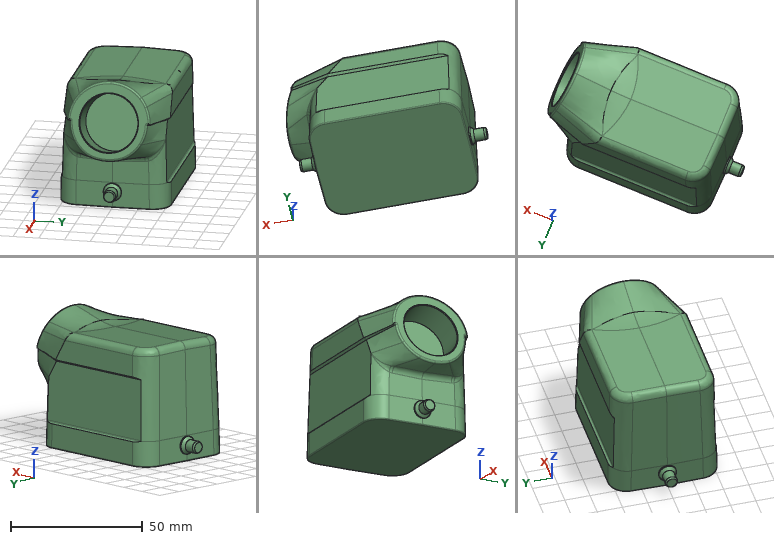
import cadquery as cq
import math

base_length = 60.0
base_width = 42.97
end_wall_rise = 0.4
skirt_height = 10.0
skirt_draft = 1.0
upper_draft = 1.5
roof_height = 46.2
roof_fall_angle = 1.5
corner_radius = 7.3
roof_radius = 3.0
roof_trim = 1.0
bottom_radius = 0.4

recess_depth = 1.0
recess_floor_bottom = 10.1
recess_floor_top = 33.8
recess_floor_radius = 0.3
recess_bottom_slope = 0.6
recess_top_slope = 0.75

neck_root_x = 14.0
neck_root_angle = 31.4
mouth_center_x = 36.95
mouth_center_z = 36.1
mouth_angle = 15.0
mouth_radius = 15.8
mouth_upper_angles = (90, 41, 26, 0)
mouth_lower_angles = (0, -31, -66, -90)
mouth_step = 1.0
mouth_edge_radius = 0.8
neck_under_radius = 2.3
neck_corner_top = 26.0
blend_length = 4.2
blend_root_depth = 2.0
blend_fractions = (0, 0.25, 0.5, 0.75, 0.98)
plane_tolerance = 0.01
bore_diameter = 22.5
bore_depth = 12.0
bore_chamfer = 0.3

pin_height = 6.25
pin_reach = 36.33
pin_diameter = 4.8
pin_tip_diameter = 4.0
pin_tip_length = 0.8
collar_diameter = 7.0
collar_start = 29.0
collar_end = 30.4
cone_end = 31.6


def tan_deg(angle):
    return math.tan(math.radians(angle))


def side_inset(height):
    """How far the drafted walls have drawn in at a height."""
    skirt_part = min(height, skirt_height) * tan_deg(skirt_draft)
    upper_part = max(height - skirt_height, 0) * tan_deg(upper_draft)
    return skirt_part + upper_part


def half_width(height):
    return base_width / 2 - side_inset(height)


def body_outline(height):
    """Outline at a height: pointed end walls, rounded corners, one draft all the way up the neck end."""
    neck_end = base_length / 2 - height * tan_deg(skirt_draft)
    plain_end = side_inset(height) - base_length / 2
    neck_shoulder = neck_end - end_wall_rise
    plain_shoulder = plain_end + end_wall_rise
    side = half_width(height)
    points = [
        (neck_end, 0),
        (neck_shoulder, side),
        (plain_shoulder, side),
        (plain_end, 0),
        (plain_shoulder, -side),
        (neck_shoulder, -side),
    ]
    outline = cq.Wire.makePolygon([cq.Vector(x, y, height) for x, y in points], close=True)
    corners = [vertex for vertex in outline.Vertices() if abs(vertex.Y) > side / 2]
    return outline.fillet2D(corner_radius, corners)


def make_body():
    heights = (0, skirt_height, roof_height + roof_trim)
    body = cq.Workplane(obj=cq.Solid.makeLoft([body_outline(height) for height in heights], True))

    eave_y = base_width / 2
    eave_z = roof_height - eave_y * tan_deg(roof_fall_angle)
    roof = (
        cq.Workplane("YZ")
        .polyline([(-eave_y, 0), (-eave_y, eave_z), (0, roof_height), (eave_y, eave_z), (eave_y, 0)])
        .close()
        .extrude(base_length, both=True)
    )
    body = body.intersect(roof)
    ridge = body.edges(cq.selectors.NearestToPointSelector((0, 0, roof_height))).val()
    rim = [
        edge for edge in body.edges().vals()
        if edge.BoundingBox().zmin > eave_z - roof_radius and not edge.isSame(ridge)
    ]
    body = body.newObject(rim).fillet(roof_radius)
    return body.faces("<Z").edges().fillet(bottom_radius)


def make_recess_cutter():
    """Both side recesses: floors parallel to the drafted walls, with sloping steps."""
    outside = base_width
    floor_bottom_y = half_width(recess_floor_bottom) - recess_depth
    floor_top_y = half_width(recess_floor_top) - recess_depth
    bottom_slope = recess_bottom_slope / recess_depth
    top_slope = recess_top_slope / recess_depth
    profile = [
        (floor_bottom_y, recess_floor_bottom),
        (floor_top_y, recess_floor_top),
        (outside, recess_floor_top + (outside - floor_top_y) * top_slope),
        (outside, recess_floor_bottom - (outside - floor_bottom_y) * bottom_slope),
    ]
    cutter = cq.Workplane("YZ").polyline(profile).close().extrude(base_length, both=True)
    lower_corner = cq.selectors.NearestToPointSelector((0, floor_bottom_y, recess_floor_bottom))
    cutter = cutter.edges(lower_corner).fillet(recess_floor_radius)
    return cutter.union(cutter.mirror("XZ"))


def upward_plane(x, z, angle):
    """Plane through a point on the middle of the hood, facing +X and tilted upward."""
    tilt = math.radians(angle)
    return cq.Plane(origin=(x, 0, z), xDir=(0, 1, 0), normal=(math.cos(tilt), 0, math.sin(tilt)))


def neck_root_plane():
    return upward_plane(neck_root_x, roof_height, neck_root_angle)


def mouth_plane():
    return upward_plane(mouth_center_x, mouth_center_z, mouth_angle)


def trim_for_neck(body):
    """Cut away the upper end corner where the neck starts."""
    size = 2 * base_length
    corner = cq.Workplane(neck_root_plane()).rect(size, size).extrude(size)
    return body.cut(corner)


def mouth_point(radius, angle):
    """Point in the mouth plane, with the angle counted from +Y."""
    angle = math.radians(angle)
    return mouth_plane().toWorldCoords((radius * math.cos(angle), radius * math.sin(angle)))


def mouth_outline():
    """Round mouth outline, split where the lengthwise edges of the neck arrive."""
    def rim_arcs(radius, angles):
        return [
            cq.Edge.makeThreePointArc(
                mouth_point(radius, start), mouth_point(radius, (start + end) / 2), mouth_point(radius, end))
            for start, end in zip(angles, angles[1:])
        ]

    slim_radius = mouth_radius - mouth_step
    far_upper_angles = [180 - angle for angle in reversed(mouth_upper_angles)]
    far_lower_angles = [180 - angle for angle in reversed(mouth_lower_angles)]
    edges = rim_arcs(mouth_radius, mouth_upper_angles)
    edges += [cq.Edge.makeLine(mouth_point(mouth_radius, 0), mouth_point(slim_radius, 0))]
    edges += rim_arcs(slim_radius, mouth_lower_angles)
    edges += rim_arcs(slim_radius, far_lower_angles)
    edges += [cq.Edge.makeLine(mouth_point(slim_radius, 180), mouth_point(mouth_radius, 180))]
    edges += rim_arcs(mouth_radius, far_upper_angles)
    return cq.Wire.assembleEdges(edges)


def make_neck(trimmed_body):
    """Straight-sided transition from the cut face of the body to the round mouth."""
    plane = neck_root_plane()
    root = trimmed_body.faces(cq.selectors.ParallelDirSelector(plane.zDir)).val()
    neck = cq.Solid.makeLoft([root.outerWire(), mouth_outline()], True)
    return cq.Workplane(obj=neck)


def edges_on_plane(part, plane):
    """Edges of the part whose middle lies on a plane."""
    return [
        edge for edge in part.edges().vals()
        if abs(plane.toLocalCoords(edge.positionAt(0.5)).z) < plane_tolerance
    ]


def round_neck(hood):
    """Round the inside corner under the neck, then the mouth edge."""
    under_neck = [
        edge for edge in edges_on_plane(hood, neck_root_plane()) if edge.Center().z < neck_corner_top
    ]
    hood = hood.newObject(under_neck).fillet(neck_under_radius)
    return hood.newObject(edges_on_plane(hood, mouth_plane())).fillet(mouth_edge_radius)


def make_roof_blend(trimmed_body):
    """Concave lens that eases the roof into the neck, fading out at the roof rounding."""
    middle = cq.Vector(neck_root_x, 0, roof_height)
    root_edges = edges_on_plane(trimmed_body, neck_root_plane())
    roof_edge = max(root_edges, key=lambda edge: edge.Center().z)
    ends = (roof_edge.startPoint(), roof_edge.endPoint())
    corner = max(ends, key=lambda point: abs(point.y))
    corner = cq.Vector(corner.x, abs(corner.y), corner.z)
    ridge_angle, eave_angle = mouth_upper_angles[:2]

    def section(fraction):
        root = middle + (corner - middle) * fraction
        angle = ridge_angle + (eave_angle - ridge_angle) * fraction
        rim = mouth_point(mouth_radius, angle)
        length = blend_length * (1 - fraction**2)
        on_roof = root - cq.Vector(length, 0, 0)
        on_neck = root + (rim - root).normalized() * length
        buried = root - (on_roof + on_neck - root * 2).normalized() * blend_root_depth
        return cq.Wire.assembleEdges([
            cq.Edge.makeBezier([on_roof, root, on_neck]),
            cq.Edge.makeLine(on_neck, buried),
            cq.Edge.makeLine(buried, on_roof),
        ])

    sections = [section(fraction) for fraction in blend_fractions]
    half = cq.Workplane(obj=cq.Solid.makeLoft(sections))
    return half, half.mirror("XZ")


def make_bore():
    bore = cq.Workplane(mouth_plane()).circle(bore_diameter / 2).extrude(-bore_depth)
    lead_in = (
        cq.Workplane(mouth_plane()).circle(bore_diameter / 2 + bore_chamfer)
        .workplane(offset=-bore_chamfer).circle(bore_diameter / 2).loft()
    )
    return bore.union(lead_in)


def make_pin():
    """Pin with its collar, standing out of the +X end wall."""
    pin_radius = pin_diameter / 2
    collar_radius = collar_diameter / 2
    profile = [
        (collar_start, 0),
        (collar_start, collar_radius),
        (collar_end, collar_radius),
        (cone_end, pin_radius),
        (pin_reach - pin_tip_length, pin_radius),
        (pin_reach, pin_tip_diameter / 2),
        (pin_reach, 0),
    ]
    return (
        cq.Workplane("XZ").polyline(profile).close()
        .revolve(360, (0, 0, 0), (1, 0, 0))
        .translate((0, 0, pin_height))
    )


body = make_body().cut(make_recess_cutter())
trimmed = trim_for_neck(body)
hood = round_neck(trimmed.union(make_neck(trimmed)))
for blend_half in make_roof_blend(trimmed):
    hood = hood.union(blend_half)
pin = make_pin()
result = hood.cut(make_bore()).union(pin).union(pin.mirror("YZ"))